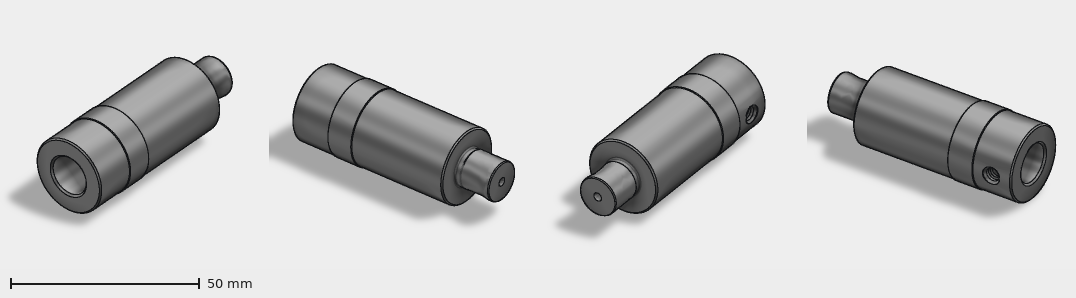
import cadquery as cq
import math

TOTAL_LENGTH = 61.5
SHOULDER_Y = 50.0
COLLAR_START = 12.0
COLLAR_LENGTH = 8.0
NECK_LENGTH = 1.65
SPIGOT_START = SHOULDER_Y + NECK_LENGTH

COLLAR_RADIUS = 22.6 / 2
BODY_RADIUS = 11.1
SPIGOT_RADIUS = 5.8
NECK_RADIUS = 5.5
BODY_CHAMFER = 0.4
COLLAR_CHAMFER = COLLAR_RADIUS - BODY_RADIUS
SPIGOT_TIP_LENGTH = 0.35
SPIGOT_TIP_INSET = 0.2
NECK_FLARE = 0.4

BORE_RADIUS = 5.65
BORE_DEPTH = 33.8
BORE_CHAMFER = 0.55
LEDGE = 0.1
FLOOR_CONE_ANGLE = 118.0
THROUGH_RADIUS = 1.2

SIDE_HOLE_Y = 6.35
SIDE_MOUTH_RADIUS = 2.65
SIDE_BORE_RADIUS = 1.95
SIDE_PILOT_RADIUS = 1.55
SIDE_BORE_DEPTH = 1.85
SIDE_PILOT_DEPTH = 3.1

NECK_STEP = SPIGOT_RADIUS - NECK_RADIUS
WAIST_START = SPIGOT_START + NECK_STEP
WAIST_END = TOTAL_LENGTH - SPIGOT_TIP_LENGTH
WAIST_SECTIONS = [
    (WAIST_START, NECK_STEP),
    (53.95, 0.55),
    (55.8, 0.6),
    (57.45, 0.55),
    (59.65, 0.05),
    (WAIST_END, 0.0),
]


def turn(profile):
    """Revolve a closed profile in the XY plane about the Y axis."""
    return profile.close().revolve(360, (0, 0, 0), (0, 1, 0))


def outer_body():
    collar_end = COLLAR_START + COLLAR_LENGTH
    arc_bend = NECK_FLARE * (1 - math.sqrt(0.5))
    profile = (
        cq.Workplane("XY")
        .lineTo(BODY_RADIUS - BODY_CHAMFER, 0)
        .lineTo(BODY_RADIUS, BODY_CHAMFER)
        .lineTo(BODY_RADIUS, COLLAR_START)
        .lineTo(COLLAR_RADIUS, COLLAR_START + COLLAR_CHAMFER)
        .lineTo(COLLAR_RADIUS, collar_end - COLLAR_CHAMFER)
        .lineTo(BODY_RADIUS, collar_end)
        .lineTo(BODY_RADIUS, SHOULDER_Y - BODY_CHAMFER)
        .lineTo(BODY_RADIUS - BODY_CHAMFER, SHOULDER_Y)
        .lineTo(NECK_RADIUS + NECK_FLARE, SHOULDER_Y)
        .threePointArc(
            (NECK_RADIUS + arc_bend, SHOULDER_Y + arc_bend),
            (NECK_RADIUS, SHOULDER_Y + NECK_FLARE),
        )
        .lineTo(NECK_RADIUS, SPIGOT_START)
        .lineTo(0, SPIGOT_START)
    )
    return turn(profile)


def main_bore():
    floor_radius = BORE_RADIUS - LEDGE
    cone_length = (floor_radius - THROUGH_RADIUS) / math.tan(math.radians(FLOOR_CONE_ANGLE / 2))
    profile = (
        cq.Workplane("XY")
        .lineTo(BORE_RADIUS + BORE_CHAMFER, 0)
        .lineTo(BORE_RADIUS, BORE_CHAMFER)
        .lineTo(BORE_RADIUS, BORE_DEPTH)
        .lineTo(floor_radius, BORE_DEPTH)
        .lineTo(THROUGH_RADIUS, BORE_DEPTH + cone_length)
        .lineTo(THROUGH_RADIUS, TOTAL_LENGTH)
        .lineTo(0, TOTAL_LENGTH)
    )
    return turn(profile)


def side_hole():
    mouth_drop = SIDE_MOUTH_RADIUS - SIDE_BORE_RADIUS
    pilot_step = SIDE_BORE_RADIUS - SIDE_PILOT_RADIUS
    tip_length = SIDE_PILOT_RADIUS / math.tan(math.radians(FLOOR_CONE_ANGLE / 2))
    mouth_x = -math.sqrt(BODY_RADIUS**2 - SIDE_MOUTH_RADIUS**2)
    profile = (
        cq.Workplane("XY")
        .moveTo(-COLLAR_RADIUS, 0)
        .lineTo(-COLLAR_RADIUS, SIDE_MOUTH_RADIUS)
        .lineTo(mouth_x, SIDE_MOUTH_RADIUS)
        .lineTo(mouth_x + mouth_drop, SIDE_BORE_RADIUS)
        .lineTo(SIDE_BORE_DEPTH - BODY_RADIUS, SIDE_BORE_RADIUS)
        .lineTo(SIDE_BORE_DEPTH - BODY_RADIUS + pilot_step, SIDE_PILOT_RADIUS)
        .lineTo(SIDE_PILOT_DEPTH - BODY_RADIUS, SIDE_PILOT_RADIUS)
        .lineTo(SIDE_PILOT_DEPTH - BODY_RADIUS + tip_length, 0)
        .close()
    )
    return profile.revolve(360, (0, 0, 0), (1, 0, 0)).translate((0, SIDE_HOLE_Y, 0))


def ellipse_across_y(radius_x, radius_z, center):
    return cq.Wire.makeEllipse(radius_z, radius_x, center, cq.Vector(0, 1, 0), cq.Vector(0, 0, 1))


def spigot_section(y, hollow):
    """Elliptical outline whose -X side stays put while its +X side moves in by hollow."""
    radius_x = SPIGOT_RADIUS - hollow / 2
    radius_z = SPIGOT_RADIUS - hollow / 4
    center = cq.Vector(-hollow / 2, y, 0)
    return ellipse_across_y(radius_x, radius_z, center)


def spigot():
    waist = cq.Solid.makeLoft([spigot_section(y, hollow) for y, hollow in WAIST_SECTIONS])
    neck_end = ellipse_across_y(NECK_RADIUS, NECK_RADIUS, cq.Vector(0, SPIGOT_START, 0))
    neck_cone = cq.Solid.makeLoft([neck_end, spigot_section(*WAIST_SECTIONS[0])], True)
    tip = turn(
        cq.Workplane("XY")
        .moveTo(0, WAIST_END)
        .lineTo(SPIGOT_RADIUS, WAIST_END)
        .lineTo(SPIGOT_RADIUS - SPIGOT_TIP_INSET, TOTAL_LENGTH)
        .lineTo(0, TOTAL_LENGTH)
    )
    return tip.union(cq.Workplane(waist)).union(cq.Workplane(neck_cone))


result = outer_body().union(spigot()).cut(main_bore()).cut(side_hole())